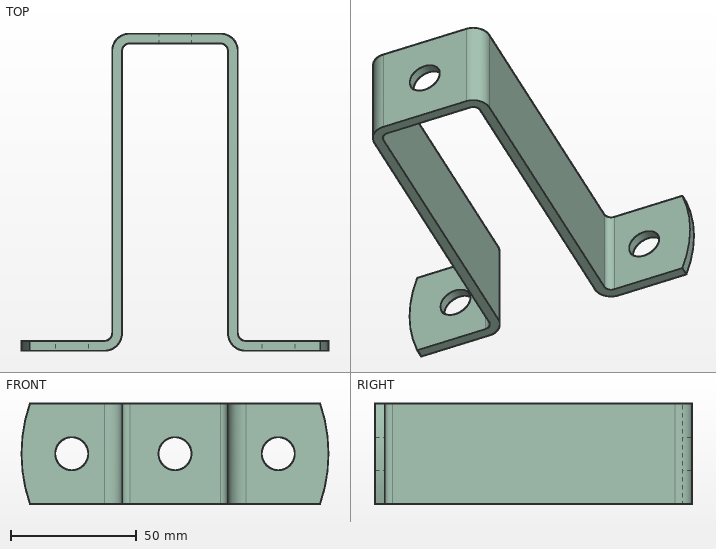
import cadquery as cq

overall_length = 122.0
overall_depth = 126.0
strip_width = 40.0
thickness = 4.0
channel_width = 50.0
inner_bend_radius = 3.0
hole_diameter = 13.0
flange_hole_spacing = 82.0

outer_bend_radius = inner_bend_radius + thickness
half_length = overall_length / 2
leg_outer = channel_width / 2
leg_inner = leg_outer - thickness
end_radius = half_length


def make_strip():
    """Sharp-cornered hat profile with flanges on Y = 0, extruded along Z."""
    right_half = [
        (half_length, 0),
        (half_length, thickness),
        (leg_outer, thickness),
        (leg_outer, overall_depth),
    ]
    right_half_inside = [
        (leg_inner, overall_depth - thickness),
        (leg_inner, 0),
    ]
    outside = right_half + [(-x, y) for x, y in reversed(right_half)]
    inside = [(-x, y) for x, y in reversed(right_half_inside)] + right_half_inside
    profile = outside + inside
    return (
        cq.Workplane("XY")
        .polyline(profile)
        .close()
        .extrude(strip_width / 2, both=True)
    )


def edges_along_z(strip, points):
    """Select the vertical edges that pass through the given XY points."""
    reach = thickness / 4
    selected = strip.edges("|Z")
    boxes = [
        cq.selectors.BoxSelector(
            (x - reach, y - reach, -strip_width),
            (x + reach, y + reach, strip_width),
        )
        for x, y in points
    ]
    selector = boxes[0]
    for box in boxes[1:]:
        selector = selector + box
    return selected.edges(selector)


def round_bends(strip):
    """Give all four bends concentric inner and outer radii."""
    inner_corners = []
    outer_corners = []
    for side in (-1, 1):
        inner_corners.append((side * leg_outer, thickness))
        inner_corners.append((side * leg_inner, overall_depth - thickness))
        outer_corners.append((side * leg_inner, 0))
        outer_corners.append((side * leg_outer, overall_depth))
    strip = edges_along_z(strip, inner_corners).fillet(inner_bend_radius)
    return edges_along_z(strip, outer_corners).fillet(outer_bend_radius)


def round_flange_ends(strip):
    """Trim the flange ends to a cylinder about the Y axis."""
    envelope = cq.Workplane("XZ").circle(end_radius).extrude(-overall_depth)
    return strip.intersect(envelope)


def drill_holes(strip):
    """Drill one hole in each flange and one in the middle of the bridge."""
    hole_centres = [(-flange_hole_spacing / 2, 0), (0, 0), (flange_hole_spacing / 2, 0)]
    drills = (
        cq.Workplane("XZ")
        .pushPoints(hole_centres)
        .circle(hole_diameter / 2)
        .extrude(-overall_depth)
    )
    return strip.cut(drills)


result = drill_holes(round_flange_ends(round_bends(make_strip())))